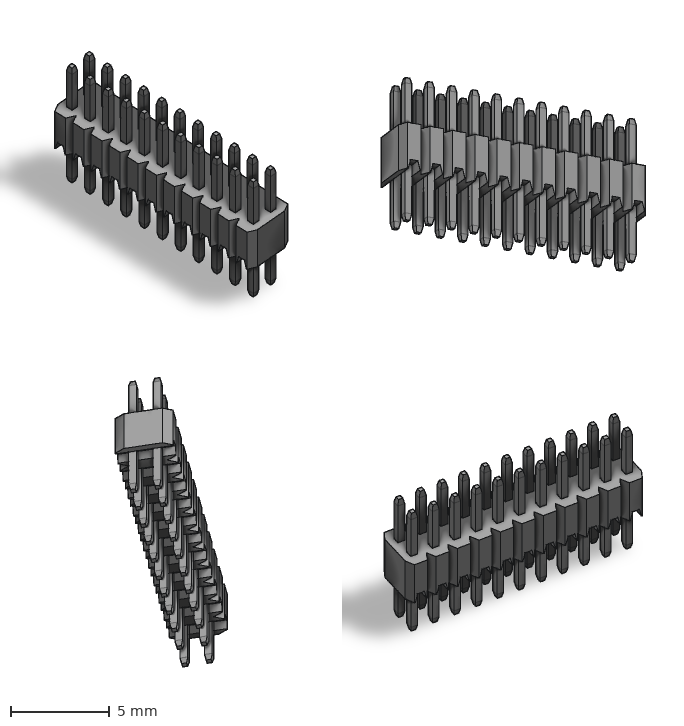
import cadquery as cq

column_count = 11
row_count = 2
body_length = 13.97
pitch = body_length / column_count

body_width = 3.0
body_height = 2.5
notch_depth = 0.5
notch_width = 0.5
half_notch = notch_width / 2

channel_depth = 0.5
channel_mouth_width = 0.67
channel_roof_width = 0.4

pin_size = 0.4
total_height = 7.75
pin_above_body = 2.75
pin_below_body = total_height - body_height - pin_above_body
tip_length = 0.34
tip_size = 0.25

column_positions = [(i - (column_count - 1) / 2) * pitch for i in range(column_count)]
row_positions = [(j - (row_count - 1) / 2) * pitch for j in range(row_count)]


def side_edge(side):
    """Points along one notched long side (+1 for +Y, -1 for -Y), from -X to +X."""
    outer_y = side * body_width / 2
    notch_y = side * (body_width / 2 - notch_depth)
    points = [(-body_length / 2, notch_y)]
    for x in column_positions:
        points.append((x - pitch / 2 + half_notch, outer_y))
        points.append((x + pitch / 2 - half_notch, outer_y))
        points.append((x + pitch / 2, notch_y))
    return points


def make_housing():
    """Block with V notches between the columns and matching bevels at its corners."""
    outline = side_edge(-1) + side_edge(1)[::-1]
    return cq.Workplane("XY").polyline(outline).close().extrude(body_height)


def make_channel(x):
    """Trapezoidal channel through the full width, wide at the underside."""
    profile = [
        (x - channel_mouth_width / 2, 0),
        (x + channel_mouth_width / 2, 0),
        (x + channel_roof_width / 2, channel_depth),
        (x - channel_roof_width / 2, channel_depth),
    ]
    return cq.Workplane("XZ").polyline(profile).close().extrude(body_width / 2, both=True)


def make_section(x, y, bottom_z, bottom_size, top_z, top_size):
    """Square length of pin, tapering evenly if its two end sizes differ."""
    return (
        cq.Workplane("XY", origin=(x, y, bottom_z))
        .rect(bottom_size, bottom_size)
        .workplane(offset=top_z - bottom_z)
        .rect(top_size, top_size)
        .loft(ruled=True)
    )


def make_pin(x, y):
    """Square pin passing right through the housing, tapered at both ends."""
    bottom = -pin_below_body
    shaft_bottom = bottom + tip_length
    top = body_height + pin_above_body
    shaft_top = top - tip_length
    lower_tip = make_section(x, y, bottom, tip_size, shaft_bottom, pin_size)
    shaft = make_section(x, y, shaft_bottom, pin_size, shaft_top, pin_size)
    upper_tip = make_section(x, y, shaft_top, pin_size, top, tip_size)
    return lower_tip.union(shaft).union(upper_tip)


channels = [make_channel(x).val() for x in column_positions]
pins = [make_pin(x, y).val() for x in column_positions for y in row_positions]

housing = make_housing().cut(cq.Compound.makeCompound(channels))
result = housing.union(cq.Compound.makeCompound(pins))